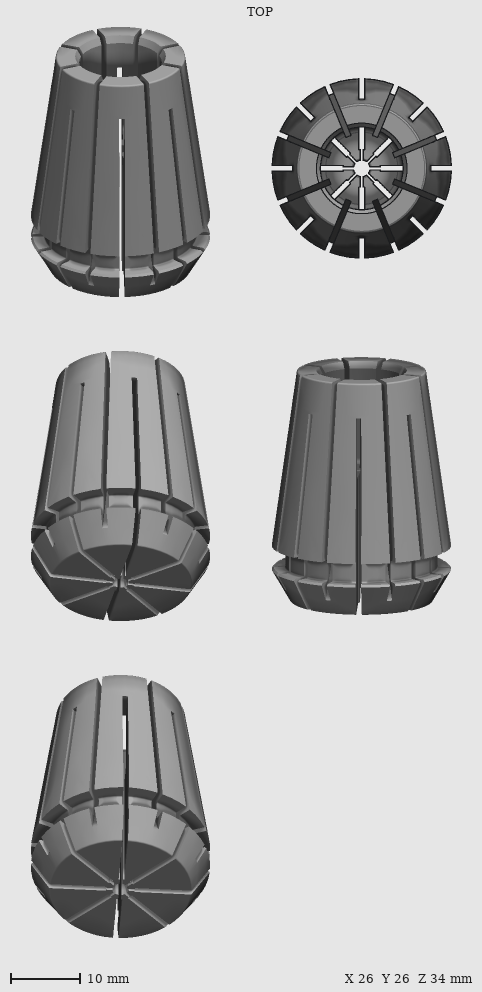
import cadquery as cq
import math

height = 34.0
body_radius = 13.0
taper_angle = 8.0
top_edge_round = 0.27

nose_radius = 10.3
nose_edge_round = 0.27
rim_radius = 13.0
rim_bottom_z = 4.62
rim_chamfer = 0.27
groove_radius = 11.0
groove_bottom_z = 4.93
groove_top_z = 8.1
groove_round = 0.2

tool_radius = 1.2
tool_bore_round = 0.2
relief_radius = 6.0
relief_floor_z = 19.0
relief_floor_round = 0.75
mouth_radius = 6.55
mouth_depth = 1.0

slot_count = 8
slot_width = 0.8
slit_width = 0.4
slot_overrun = 1.7
lower_slot_inner_radius = 2.07
lower_slot_runout_radius = 44.55
lower_slot_runout_z = 11.55
lower_slot_top_z = 29.0
upper_slot_inner_radius = 5.0
upper_slot_floor_z = 2.2

slot_pitch = 360.0 / slot_count
slot_reach = body_radius + slot_overrun
top_radius = body_radius - (height - groove_top_z) * math.tan(math.radians(taper_angle))
nose_slope = (rim_radius - nose_radius) / rim_bottom_z
upper_slot_outer_radius = nose_radius + nose_slope * upper_slot_floor_z

runout_height = relief_floor_z - lower_slot_runout_z
runout_offset = lower_slot_runout_radius - math.sqrt(lower_slot_runout_radius**2 - runout_height**2)
runout_end_radius = lower_slot_inner_radius + runout_offset


def turned_body():
    """Solid outline of the collet without bores or slots."""
    outline = (
        cq.Workplane("XZ")
        .moveTo(0, 0)
        .lineTo(nose_radius, 0)
        .lineTo(rim_radius, rim_bottom_z)
        .lineTo(rim_radius - rim_chamfer, groove_bottom_z)
        .lineTo(groove_radius + groove_round, groove_bottom_z)
        .radiusArc((groove_radius, groove_bottom_z + groove_round), groove_round)
        .lineTo(groove_radius, groove_top_z - groove_round)
        .radiusArc((groove_radius + groove_round, groove_top_z), groove_round)
        .lineTo(body_radius, groove_top_z)
        .lineTo(top_radius, height)
        .lineTo(0, height)
        .close()
    )
    body = outline.revolve(360, (0, 0, 0), (0, 1, 0))
    body = body.faces(">Z").edges().fillet(top_edge_round)
    return body.faces("<Z").edges().fillet(nose_edge_round)


def bores():
    """Through tool bore and the wider relief bore with its flared mouth."""
    outline = (
        cq.Workplane("XZ")
        .moveTo(0, 0)
        .lineTo(tool_radius, 0)
        .lineTo(tool_radius, relief_floor_z - tool_bore_round)
        .radiusArc((tool_radius + tool_bore_round, relief_floor_z), tool_bore_round)
        .lineTo(relief_radius - relief_floor_round, relief_floor_z)
        .radiusArc((relief_radius, relief_floor_z + relief_floor_round), -relief_floor_round)
        .lineTo(relief_radius, height - mouth_depth)
        .lineTo(mouth_radius, height)
        .lineTo(0, height)
        .close()
    )
    return outline.revolve(360, (0, 0, 0), (0, 1, 0))


def radial_plate(outline, width):
    """Plate of the given width, from a closed outline in the XZ plane, centred on that plane."""
    return outline.close().extrude(width / 2, both=True)


def lower_slot():
    """Slot open at the nut end, thinning to a slit where it meets the tool bore."""
    wide = (
        cq.Workplane("XZ")
        .moveTo(slot_reach, 0)
        .lineTo(lower_slot_inner_radius, 0)
        .lineTo(lower_slot_inner_radius, lower_slot_runout_z)
        .radiusArc((runout_end_radius, relief_floor_z), lower_slot_runout_radius)
        .lineTo(runout_end_radius, lower_slot_top_z)
        .lineTo(slot_reach, lower_slot_top_z)
    )
    slit = (
        cq.Workplane("XZ")
        .lineTo(slot_reach, 0)
        .lineTo(slot_reach, relief_floor_z)
        .lineTo(0, relief_floor_z)
    )
    return radial_plate(wide, slot_width).union(radial_plate(slit, slit_width))


def upper_slot():
    """Slot open at the top, its floor sloping outwards from the relief bore to the nose."""
    outline = (
        cq.Workplane("XZ")
        .moveTo(upper_slot_inner_radius, height)
        .lineTo(upper_slot_inner_radius, relief_floor_z)
        .lineTo(upper_slot_outer_radius, upper_slot_floor_z)
        .lineTo(slot_reach, upper_slot_floor_z)
        .lineTo(slot_reach, height)
    )
    return radial_plate(outline, slot_width)


result = turned_body().cut(bores())
for index in range(slot_count):
    angle = index * slot_pitch
    result = result.cut(lower_slot().rotate((0, 0, 0), (0, 0, 1), angle))
    result = result.cut(upper_slot().rotate((0, 0, 0), (0, 0, 1), angle + slot_pitch / 2))